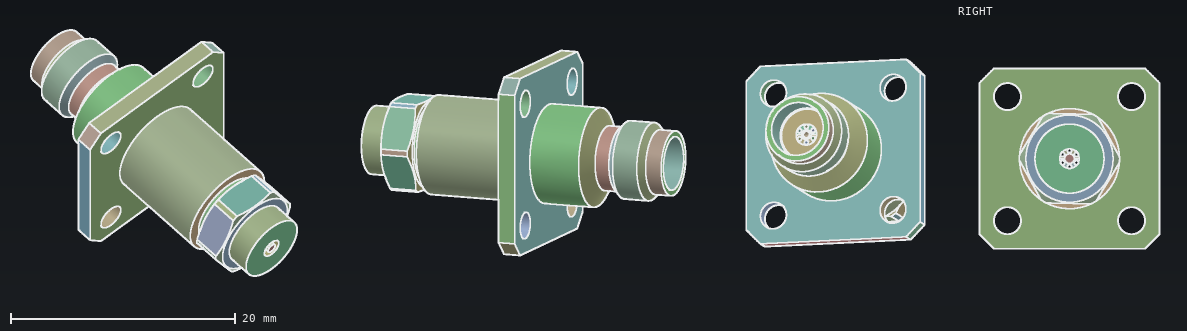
import cadquery as cq
import math

SOCKET_DEPTH = 3.03
RING_START = 1.5
RING_END = 5.05
RING_CHAMFER = 0.6
SHOULDER_START = 6.38
SHOULDER_END = 7.33
FLANGE_START = 12.03
FLANGE_THICKNESS = 1.55
BODY_END = 22.96
HEX_START = 23.6
HEX_END = 26.63
OVERALL_LENGTH = 28.85

NECK_RADIUS = 2.9
RING_RADIUS = NECK_RADIUS + RING_CHAMFER
BODY_RADIUS = 4.47
SOCKET_RADIUS = 2.4
SOCKET_FLOOR_CHAMFER = 0.1
BEAD_RADIUS = 0.95
LINE_RADIUS = 0.87
CONTACT_RADIUS = 0.43

FLANGE_SIZE = 16.1
FLANGE_CORNER = 1.3
FLANGE_HOLE_PITCH = 11.08
FLANGE_HOLE_DIAMETER = 2.4

BEAD_LENGTH = 1.45
BEAD_END = SOCKET_DEPTH + BEAD_LENGTH
BEAD_HOLE_COUNT = 6
BEAD_HOLE_CIRCLE = 0.72
BEAD_HOLE_RADIUS = 0.188

CONTACT_RECESS_RADIUS = 0.3
CONTACT_RECESS_DEPTH = 0.23

NUT_COLLAR_RADIUS = 3.45
NUT_ACROSS_FLATS = 8.0
NUT_CORNER_RADIUS = 4.47
NUT_CHAMFER_LENGTH = 0.25
NUT_FACE_RADIUS = 3.9
NUT_TURN = -1.3

SLEEVE_RADIUS = 3.1


def turned(profile):
    """Revolve a closed (x, radius) outline about the X axis."""
    return cq.Workplane("XY").polyline(profile).close().revolve(360, (0, 0, 0), (1, 0, 0))


def rod(start, end, radius):
    """Solid cylinder along X between two stations."""
    return cq.Workplane("YZ", origin=(start, 0, 0)).circle(radius).extrude(end - start)


def make_body():
    """Turned housing with its socket, bead seat, through bore and square mounting flange."""
    housing = turned([
        (0, 0),
        (0, NECK_RADIUS),
        (RING_START, NECK_RADIUS),
        (RING_START + RING_CHAMFER, RING_RADIUS),
        (RING_END - RING_CHAMFER, RING_RADIUS),
        (RING_END, NECK_RADIUS),
        (SHOULDER_START, NECK_RADIUS),
        (SHOULDER_END, BODY_RADIUS),
        (BODY_END, BODY_RADIUS),
        (BODY_END, 0),
    ])
    flange = (
        cq.Workplane("YZ", origin=(FLANGE_START, 0, 0))
        .rect(FLANGE_SIZE, FLANGE_SIZE)
        .extrude(FLANGE_THICKNESS)
        .edges("|X")
        .chamfer(FLANGE_CORNER)
        .faces("<X")
        .workplane(origin=(FLANGE_START, 0, 0))
        .rect(FLANGE_HOLE_PITCH, FLANGE_HOLE_PITCH, forConstruction=True)
        .vertices()
        .hole(FLANGE_HOLE_DIAMETER)
    )
    socket = turned([
        (0, 0),
        (0, SOCKET_RADIUS),
        (SOCKET_DEPTH - SOCKET_FLOOR_CHAMFER, SOCKET_RADIUS),
        (SOCKET_DEPTH, SOCKET_RADIUS - SOCKET_FLOOR_CHAMFER),
        (SOCKET_DEPTH, 0),
    ])
    line_bore = rod(SOCKET_DEPTH, BODY_END, LINE_RADIUS)
    bead_seat = rod(SOCKET_DEPTH, BEAD_END, BEAD_RADIUS)
    return housing.union(flange).cut(socket).cut(line_bore).cut(bead_seat)


def make_bead_half(side):
    """Half of the support bead: side is +1 for the upper half, -1 for the lower."""
    ring = rod(SOCKET_DEPTH, BEAD_END, BEAD_RADIUS).cut(rod(SOCKET_DEPTH, BEAD_END, CONTACT_RADIUS))
    holes = (
        cq.Workplane("YZ", origin=(SOCKET_DEPTH, 0, 0))
        .polarArray(BEAD_HOLE_CIRCLE, 90, 360, BEAD_HOLE_COUNT)
        .circle(BEAD_HOLE_RADIUS)
        .extrude(BEAD_LENGTH)
    )
    half_space = cq.Workplane("XY").box(
        OVERALL_LENGTH, 2 * BEAD_RADIUS, BEAD_RADIUS, centered=(False, True, False)
    )
    if side < 0:
        half_space = half_space.mirror("XY")
    return ring.cut(holes).intersect(half_space)


def make_contact():
    """Centre conductor with a conical recess in its socket end."""
    return turned([
        (SOCKET_DEPTH + CONTACT_RECESS_DEPTH, 0),
        (SOCKET_DEPTH, CONTACT_RECESS_RADIUS),
        (SOCKET_DEPTH, CONTACT_RADIUS),
        (OVERALL_LENGTH, CONTACT_RADIUS),
        (OVERALL_LENGTH, 0),
    ])


def make_nut():
    """Hexagonal clamp nut with rounded corners, chamfered ends and a round collar."""
    hexagon = (
        cq.Workplane("YZ", origin=(HEX_START, 0, 0))
        .polygon(6, NUT_ACROSS_FLATS / math.cos(math.pi / 6))
        .extrude(HEX_END - HEX_START)
    )
    corner_envelope = turned([
        (HEX_START, 0),
        (HEX_START, NUT_FACE_RADIUS),
        (HEX_START + NUT_CHAMFER_LENGTH, NUT_CORNER_RADIUS),
        (HEX_END - NUT_CHAMFER_LENGTH, NUT_CORNER_RADIUS),
        (HEX_END, NUT_FACE_RADIUS),
        (HEX_END, 0),
    ])
    collar = rod(BODY_END, HEX_START, NUT_COLLAR_RADIUS)
    sleeve_bore = rod(BODY_END, HEX_END, SLEEVE_RADIUS)
    nut = hexagon.intersect(corner_envelope).union(collar).cut(sleeve_bore)
    return nut.rotate((0, 0, 0), (1, 0, 0), NUT_TURN)


def make_sleeve():
    """Plain tube carried in the nut and seated on the rear face of the body."""
    tube = rod(BODY_END, OVERALL_LENGTH, SLEEVE_RADIUS)
    return tube.cut(rod(BODY_END, OVERALL_LENGTH, LINE_RADIUS))


body = make_body()
bead_halves = [make_bead_half(side) for side in (1, -1)]
contact = make_contact()
nut = make_nut()
sleeve = make_sleeve()

result = cq.Compound.makeCompound([
    body.val(),
    *[half.val() for half in bead_halves],
    contact.val(),
    nut.val(),
    sleeve.val(),
])